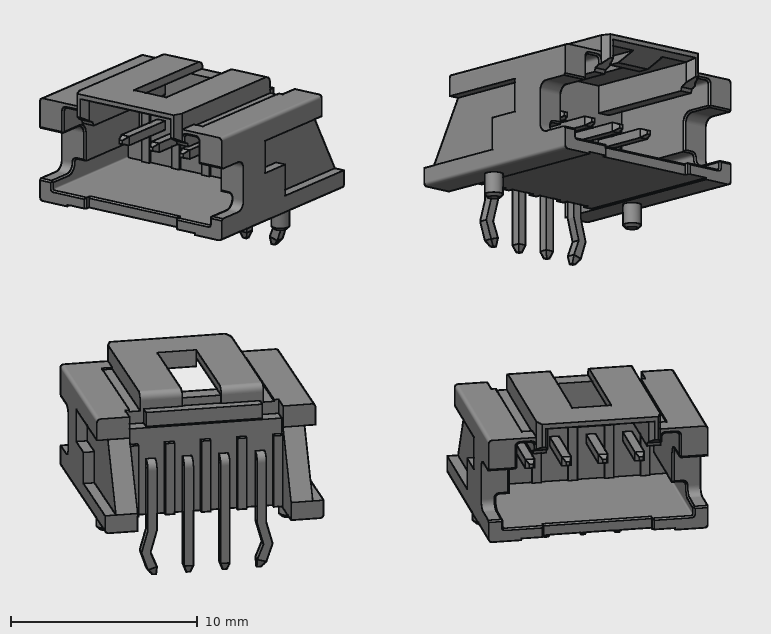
import cadquery as cq

WIDTH = 12.0
HALF = WIDTH / 2
BODY_HEIGHT = 5.8
BODY_DEPTH = 9.2
WING_DEPTH = 11.25
WING_FOOT_HEIGHT = 1.01
WING_SHOULDER_HEIGHT = 4.6
WING_INNER_X = 4.21
OUTER_ROUND = 0.2
FOOT_STEP = 0.1

FLOOR_Z = 0.72
CAVITY_DEPTH = 6.98
CAVITY_HALF = 4.45
CAVITY_TOP_Z = 5.52
KEY_HALF = 5.2
KEY_TOP_Z = 1.97
CAVITY_ROUND = 0.2
FLOOR_ROUND = 0.1
MOUTH_BEVEL = 0.1

RELIEF_HALF = 2.98
RELIEF_DEPTH = 0.3

WINDOW_DEPTH = 1.99
WINDOW_BOTTOM = 1.24
WINDOW_TOP = 4.05
WINDOW_ROUND = 0.5
WINDOW_LIP = 0.1

RECESS_DEPTH = 0.6
RECESS_UPPER_Y = 4.01
RECESS_LOWER_Y = 5.83
RECESS_STEP_Z = 2.77

HOOD_HALF = 3.38
HOOD_TOP = 6.7
HOOD_BACK = 8.09
HOOD_NOSE = 0.5
NOSE_HALF = 3.18
HOOD_ROUND = 0.41
HOOD_INNER_HALF = 2.76
HOOD_INNER_TOP = 6.24
FLARE_HALF = 2.99
FLARE_TOP = 6.43
HOOD_WALL_BOTTOM = 4.73
SKIRT_HALF = 3.49
NOSE_BOTTOM = 5.39
NOSE_SLOPE_BACK_Y = 0.35
NOSE_SLOPE_BACK_Z = 4.93
SKIRT_FRONT = 0.42
GROOVE_HALF = 3.97
GROOVE_FRONT = 1.08
GROOVE_DEPTH = 0.1

LATCH_HALF = 1.07
LATCH_Y = 1.76
LATCH_FOOT_Y = 1.86
LATCH_BOTTOM = 5.78
SHELF_BACK = 8.0

BACK_WALL_Y = 8.89
BACK_WALL_TOP = 5.0
BACK_RIDGE_HALF = 3.19
BACK_RIDGE_Y = 8.69
BACK_RIDGE_TOP = BODY_HEIGHT

RIB_COUNT = 5
RIB_PITCH = 1.98
RIB_WIDTH = 0.5
RIB_FRONT = 6.85
RIB_BACK = 9.19
RIB_TOP = 4.13

PIN_COUNT = 4
PIN_SPAN = 6.0
PIN_PITCH = PIN_SPAN / (PIN_COUNT - 1)
PIN_WIDTH = 0.5
PIN_Z = 3.0
PIN_FRONT = 3.25
PIN_TIP_LENGTH = 0.41
PIN_TIP_WIDTH = 0.22
PIN_BACK = 9.43
PIN_BOTTOM = -3.2
LEG_TIP_LENGTH = 0.4
KINKED_TIP_SHIFT = 0.13
KINKED_TIP_RISE = 0.07
BEND_TOP_Z = -0.66
BEND_Z = -1.88
BEND_SHIFT = 0.35

PEG_DIAMETER = 1.0
PEG_X = 5.0
PEG_Y = 6.78
PEG_BOTTOM = -1.28
PEG_BEVEL = 0.17


def block(x0, x1, y0, y1, z0, z1):
    """Axis-aligned box between two corners."""
    return cq.Workplane("XY").box(x1 - x0, y1 - y0, z1 - z0, centered=False).translate((x0, y0, z0))


def side_prism(points, x0, x1):
    """Outline of (y, z) points extruded along X."""
    return cq.Workplane("YZ").workplane(offset=x0).polyline(points).close().extrude(x1 - x0)


def both_sides(solid):
    return solid.union(solid.mirror("YZ"))


def outer_body():
    profile = [
        (0, 0), (WING_DEPTH, 0), (WING_DEPTH, WING_FOOT_HEIGHT),
        (BODY_DEPTH, WING_SHOULDER_HEIGHT), (BODY_DEPTH, BODY_HEIGHT), (0, BODY_HEIGHT),
    ]
    body = side_prism(profile, -HALF, HALF).edges("|Y").fillet(OUTER_ROUND)
    body = body.cut(block(-WING_INNER_X, WING_INNER_X, BACK_WALL_Y, WING_DEPTH, 0, BODY_HEIGHT))
    body = body.cut(block(-WING_INNER_X, WING_INNER_X, HOOD_BACK, WING_DEPTH, BACK_WALL_TOP, BODY_HEIGHT))
    return body.cut(block(-WING_INNER_X, WING_INNER_X, 0, WING_DEPTH, 0, FOOT_STEP))


def cavity():
    half_profile = [
        (KEY_HALF, FLOOR_Z), (KEY_HALF, KEY_TOP_Z),
        (CAVITY_HALF, KEY_TOP_Z), (CAVITY_HALF, CAVITY_TOP_Z),
    ]
    profile = half_profile + [(-x, z) for x, z in reversed(half_profile)]
    tool = cq.Workplane("XZ").polyline(profile).close().extrude(-CAVITY_DEPTH)
    tool = tool.edges("|Y and >Z").fillet(CAVITY_ROUND)
    for side in ("<X", ">X"):
        tool = tool.faces(side).edges("|Y and >Z").fillet(CAVITY_ROUND)
    return tool.edges("|Y and <Z").fillet(FLOOR_ROUND)


def window():
    tool = block(-HALF, HALF, 0, WINDOW_DEPTH, WINDOW_BOTTOM, WINDOW_TOP)
    tool = tool.edges("|X and >Y").fillet(WINDOW_ROUND)
    return tool


def window_lips():
    """Bevels where the windows open to the mouth."""
    lips = cq.Workplane("XY")
    for z, direction in ((WINDOW_BOTTOM, -1), (WINDOW_TOP, 1)):
        lip = [(0, z), (WINDOW_LIP, z), (0, z + direction * WINDOW_LIP)]
        lips = lips.union(side_prism(lip, -HALF, HALF))
    return lips


def side_recess():
    profile = [
        (RECESS_UPPER_Y, WING_SHOULDER_HEIGHT), (RECESS_UPPER_Y, RECESS_STEP_Z),
        (RECESS_LOWER_Y, RECESS_STEP_Z), (RECESS_LOWER_Y, WING_FOOT_HEIGHT),
        (WING_DEPTH, WING_FOOT_HEIGHT), (WING_DEPTH, WING_SHOULDER_HEIGHT),
    ]
    return both_sides(side_prism(profile, HALF - RECESS_DEPTH, HALF))


def hood():
    plan = [
        (HOOD_HALF, HOOD_BACK), (HOOD_HALF, 0), (NOSE_HALF, -HOOD_NOSE),
        (-NOSE_HALF, -HOOD_NOSE), (-HOOD_HALF, 0), (-HOOD_HALF, HOOD_BACK),
    ]
    shell = (cq.Workplane("XY").workplane(offset=HOOD_WALL_BOTTOM)
             .polyline(plan).close().extrude(HOOD_TOP - HOOD_WALL_BOTTOM))
    shell = shell.edges("|X and >Y and >Z").fillet(HOOD_ROUND)
    skirt = block(-SKIRT_HALF, SKIRT_HALF, 0, CAVITY_DEPTH, HOOD_WALL_BOTTOM, CAVITY_TOP_Z + MOUTH_BEVEL)
    shell = shell.union(skirt.edges("|Z and <Y").chamfer(MOUTH_BEVEL))
    slope = [
        (-HOOD_NOSE, NOSE_BOTTOM), (NOSE_SLOPE_BACK_Y, NOSE_SLOPE_BACK_Z),
        (SKIRT_FRONT, HOOD_WALL_BOTTOM), (-HOOD_NOSE, HOOD_WALL_BOTTOM),
    ]
    return shell.cut(side_prism(slope, -SKIRT_HALF, SKIRT_HALF))


def hood_opening():
    """Space under the hood, with a flared entry at the nose."""
    bottom = FLOOR_Z + FLOOR_ROUND
    straight = block(-HOOD_INNER_HALF, HOOD_INNER_HALF, -HOOD_NOSE, CAVITY_DEPTH,
                     HOOD_WALL_BOTTOM, HOOD_INNER_TOP)
    flare = (cq.Workplane("XZ", origin=(0, -HOOD_NOSE, 0))
             .center(0, (bottom + FLARE_TOP) / 2).rect(2 * FLARE_HALF, FLARE_TOP - bottom)
             .workplane(offset=-HOOD_NOSE)
             .center(0, (HOOD_INNER_TOP - FLARE_TOP) / 2)
             .rect(2 * HOOD_INNER_HALF, HOOD_INNER_TOP - bottom)
             .loft(ruled=True))
    return straight.union(flare)


def channel_corners():
    """Concave rounds where the skirt meets the top of the channels beside it."""
    corner = block(SKIRT_HALF, SKIRT_HALF + CAVITY_ROUND, MOUTH_BEVEL, CAVITY_DEPTH,
                   CAVITY_TOP_Z - CAVITY_ROUND, CAVITY_TOP_Z)
    bore = (cq.Workplane("XZ", origin=(SKIRT_HALF + CAVITY_ROUND, 0, CAVITY_TOP_Z - CAVITY_ROUND))
            .circle(CAVITY_ROUND).extrude(-CAVITY_DEPTH))
    flare = cq.Workplane(cq.Solid.makeCone(
        CAVITY_ROUND + MOUTH_BEVEL, CAVITY_ROUND, MOUTH_BEVEL,
        pnt=cq.Vector(SKIRT_HALF + CAVITY_ROUND, 0, CAVITY_TOP_Z - CAVITY_ROUND), dir=cq.Vector(0, 1, 0)))
    mouth_corner = block(HOOD_HALF, SKIRT_HALF + CAVITY_ROUND, 0, MOUTH_BEVEL,
                         CAVITY_TOP_Z - CAVITY_ROUND, CAVITY_TOP_Z + MOUTH_BEVEL)
    return both_sides(corner.cut(bore).union(mouth_corner.cut(flare)))


def latch():
    """Locking ramp under the roof, in line with the flare of the nose."""
    slope = (FLARE_TOP - HOOD_INNER_TOP) / HOOD_NOSE
    ramp_end = (HOOD_INNER_TOP - LATCH_BOTTOM) / slope
    profile = [
        (0, HOOD_TOP), (0, HOOD_INNER_TOP), (ramp_end, LATCH_BOTTOM),
        (LATCH_FOOT_Y, LATCH_BOTTOM), (LATCH_FOOT_Y, HOOD_TOP),
    ]
    return side_prism(profile, -LATCH_HALF, LATCH_HALF)


def latch_window():
    """Opening through the roof behind the latch, with a shelf at the back."""
    profile = [
        (LATCH_Y, HOOD_TOP), (LATCH_FOOT_Y, LATCH_BOTTOM), (CAVITY_DEPTH, LATCH_BOTTOM),
        (CAVITY_DEPTH, HOOD_INNER_TOP), (SHELF_BACK, HOOD_INNER_TOP), (SHELF_BACK, BODY_HEIGHT),
        (HOOD_BACK, BODY_HEIGHT), (HOOD_BACK, HOOD_TOP),
    ]
    return side_prism(profile, -LATCH_HALF, LATCH_HALF)


def ribs():
    bars = cq.Workplane("XY")
    for i in range(RIB_COUNT):
        left = (i - (RIB_COUNT - 1) / 2) * RIB_PITCH - RIB_WIDTH / 2
        bars = bars.union(block(left, left + RIB_WIDTH, RIB_FRONT, RIB_BACK, FOOT_STEP, RIB_TOP))
    return bars


def tapered_tip(corners, end_corners):
    """Solid between two four-cornered ends."""
    wires = [cq.Wire.makePolygon([cq.Vector(*p) for p in ends], close=True)
             for ends in (corners, end_corners)]
    return cq.Workplane(cq.Solid.makeLoft(wires, True))


def contact(index):
    """Right-angle pin; the outermost legs are kinked outwards."""
    x = index * PIN_PITCH - PIN_SPAN / 2
    outward = {0: -1, PIN_COUNT - 1: 1}.get(index, 0)
    r = PIN_WIDTH / 2
    tip = PIN_TIP_WIDTH / 2
    leg_y = PIN_BACK - r
    shank_front = PIN_FRONT + PIN_TIP_LENGTH
    square = [(-1, -1), (1, -1), (1, 1), (-1, 1)]

    shank = block(-r, r, shank_front, PIN_BACK, PIN_Z - r, PIN_Z + r)
    shank = shank.union(block(-r, r, leg_y - r, PIN_BACK, BEND_TOP_Z, PIN_Z + r))
    shank = shank.edges("|X and >Y and >Z").fillet(PIN_WIDTH)
    pin_tip = tapered_tip([(r * u, shank_front, PIN_Z + r * v) for u, v in square],
                          [(tip * u, PIN_FRONT, PIN_Z + tip * v) for u, v in square])

    kink = outward * BEND_SHIFT
    leg_end = PIN_BOTTOM + LEG_TIP_LENGTH
    rise = -outward * KINKED_TIP_RISE
    outline = [
        (-r, BEND_TOP_Z), (kink - r, BEND_Z), (-r, leg_end - rise),
        (r, leg_end + rise), (kink + r, BEND_Z), (r, BEND_TOP_Z),
    ]
    leg = cq.Workplane("XZ", origin=(0, PIN_BACK, 0)).polyline(outline).close().extrude(PIN_WIDTH)
    tip_x = -outward * KINKED_TIP_SHIFT
    leg_tip = tapered_tip([(r * u, leg_y + r * v, leg_end + rise * u) for u, v in square],
                          [(tip_x + tip * u, leg_y + tip * v, PIN_BOTTOM) for u, v in square])
    return shank.union(pin_tip).union(leg).union(leg_tip).translate((x, 0, 0))


def pegs():
    peg = (cq.Workplane("XY", origin=(PEG_X, PEG_Y, PEG_BOTTOM))
           .circle(PEG_DIAMETER / 2).extrude(FOOT_STEP - PEG_BOTTOM)
           .faces("<Z").chamfer(PEG_BEVEL))
    return both_sides(peg)


def bevel_mouth(body):
    """Bevel the cavity rim where it meets the mouth and the side windows."""
    reach = KEY_HALF + MOUTH_BEVEL
    back = WINDOW_DEPTH + MOUTH_BEVEL
    rim_zone = cq.selectors.BoxSelector((-reach, -MOUTH_BEVEL, FLOOR_Z - MOUTH_BEVEL),
                                        (reach, back, CAVITY_TOP_Z + MOUTH_BEVEL))
    rim = []
    for edge in body.edges(rim_zone).vals():
        box = edge.BoundingBox()
        if box.xmin > -reach and box.xmax < reach and box.ymax < back:
            rim.append(edge)
    return body.newObject(rim).chamfer(MOUTH_BEVEL)


def floor_relief(body):
    """Set the middle of the floor back from the mouth and bevel its edge."""
    plan = [
        (RELIEF_HALF + MOUTH_BEVEL, 0), (RELIEF_HALF, MOUTH_BEVEL), (RELIEF_HALF, RELIEF_DEPTH),
        (-RELIEF_HALF, RELIEF_DEPTH), (-RELIEF_HALF, MOUTH_BEVEL), (-RELIEF_HALF - MOUTH_BEVEL, 0),
    ]
    relieved = body.cut(cq.Workplane("XY").polyline(plan).close().extrude(FLOOR_Z))
    edge = [(RELIEF_DEPTH, FLOOR_Z), (RELIEF_DEPTH + MOUTH_BEVEL, FLOOR_Z),
            (RELIEF_DEPTH, FLOOR_Z - MOUTH_BEVEL)]
    return relieved.cut(side_prism(edge, -RELIEF_HALF, RELIEF_HALF))


def grooves():
    """Shallow grooves in the top face along both sides of the hood."""
    return both_sides(block(HOOD_HALF, GROOVE_HALF, GROOVE_FRONT, HOOD_BACK,
                            BODY_HEIGHT - GROOVE_DEPTH, BODY_HEIGHT))


housing = outer_body().cut(cavity()).cut(window())
housing = bevel_mouth(housing).cut(window_lips())
housing = floor_relief(housing).cut(side_recess()).cut(grooves())

housing = housing.union(hood()).union(channel_corners()).cut(hood_opening())
housing = housing.union(block(-BACK_RIDGE_HALF, BACK_RIDGE_HALF, HOOD_BACK, BACK_RIDGE_Y,
                              BACK_WALL_TOP, BACK_RIDGE_TOP))
housing = housing.union(latch()).cut(latch_window())

result = housing.union(ribs()).union(pegs())
for index in range(PIN_COUNT):
    result = result.union(contact(index))